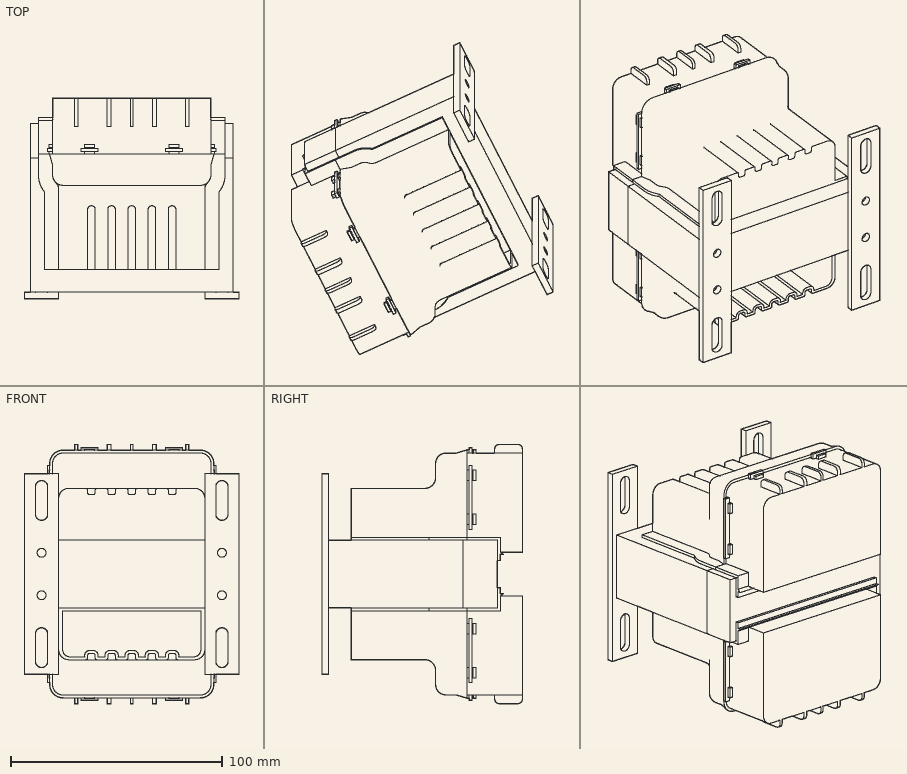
import cadquery as cq
import math


core_width = 96.0
core_half_height = 16.0
core_front_y = -44.3
core_joint_y = 19.3
core_back_y = 35.6

foot_outer_x = 50.8
foot_width = 16.2
foot_length = 95.0
foot_thickness = 3.2
slot_width = 5.7
slot_length = 18.7
slot_center_z = 34.85
screw_hole_diameter = 4.2
screw_hole_z = 10.05

flange_thickness = 1.4
flange_top_z = core_half_height + flange_thickness
flange_wide_half = 44.2
flange_narrow_half = 41.3
flange_curve_back_y = 11.2
flange_curve_front_y = 3.1
flange_curve_depth = flange_wide_half - flange_narrow_half
flange_curve_length = flange_curve_back_y - flange_curve_front_y
flange_curve_radius = (flange_curve_length**2 + flange_curve_depth**2) / (2 * flange_curve_depth)

cover_front_y = -33.7
cover_back_y = 21.2
shoulder_y = 6.25
body_half_width = 37.5
body_top_z = 57.3
body_radius = 5.0
flare_start_y = 16.0
flare_end_y = 20.8
flare_growth = 1.4
flare_angle = math.degrees(math.atan(flare_growth / (flare_end_y - flare_start_y)))
neck_half_width = 34.6
neck_top_z = 40.6
neck_radius = 4.8
blend_radius = 5.0
seam_margin = 0.1
seam_depth = 2.0

groove_count = 5
groove_pitch = 9.55
groove_end_y = -5.2
groove_half_width = 1.8
groove_depth = 3.0
groove_floor_radius = 1.0
groove_lip_radius = 0.9
groove_positions = [groove_pitch * (i - (groove_count - 1) / 2) for i in range(groove_count)]

pocket_side_wall = 1.9
pocket_wall = 1.4
pocket_radius = neck_radius - pocket_wall
pocket_floor_y = shoulder_y

block_back_y = 47.5
block_bottom_z = 10.3
apron_bottom_z = 6.4
apron_back_y = core_back_y + flange_thickness
lip_back_y = 38.4
lip_bottom_z = 9.3
lip_top_z = 10.6

fins = [(-26.25, 1.5), (-10.75, 1.9), (0, 1.4), (10.75, 1.9), (26.25, 1.5)]
fin_front_y = 34.2
fin_top_z = 61.45
fin_radius = 2.4
fin_root = 1.0

clip_bar_y = (22.2, 23.6)
clip_pad_y = (24.1, 25.5)
clip_bar_rise = 2.5
clip_pad_rise = 1.6
top_clip_x = 20.0
top_clip_bar_length = 8.1
clip_pad_length = 4.9
side_clip_z = 36.3
side_clip_bar_length = 30.3
side_clip_pad_offset = 10.4
clip_root = 1.0


def box(x_range, y_range, z_range):
    """Box between the given limits."""
    size = [high - low for low, high in (x_range, y_range, z_range)]
    corner = (x_range[0], y_range[0], z_range[0])
    return cq.Workplane("XY").box(*size, centered=False).translate(corner)


def tunnel(half_width, top_z, radius, front_y, back_y, taper=0):
    """Bar along Y, centered on Z = 0, with rounded corners; it is later trimmed at the core."""
    profile = cq.Sketch().rect(2 * half_width, 2 * top_z).vertices().fillet(radius)
    plane = cq.Workplane("XZ", origin=(0, front_y, 0))
    return plane.placeSketch(profile).extrude(-(back_y - front_y), taper=taper)


def above(solid, z):
    """Keep only the part of the solid above height z."""
    reach = 200
    return solid.intersect(box((-reach, reach), (-reach, reach), (z, reach)))


def mirrored(solid):
    return solid.mirror("XY")


def core_part(front_y, back_y):
    half_width = core_width / 2
    return box((-half_width, half_width), (front_y, back_y), (-core_half_height, core_half_height))


def foot(side):
    center_x = side * (foot_outer_x - foot_width / 2)
    plate = cq.Workplane("XZ", origin=(center_x, core_front_y, 0)).rect(foot_width, foot_length)
    plate = plate.extrude(foot_thickness)
    cutters = cq.Workplane("XZ", origin=(center_x, core_front_y, 0))
    slots = cutters.pushPoints([(0, slot_center_z), (0, -slot_center_z)])
    slots = slots.slot2D(slot_length, slot_width, 90).extrude(foot_thickness)
    holes = cutters.pushPoints([(0, screw_hole_z), (0, -screw_hole_z)])
    holes = holes.circle(screw_hole_diameter / 2).extrude(foot_thickness)
    return plate.cut(slots).cut(holes)


def cover_flange():
    outline = (
        cq.Workplane("XY", origin=(0, 0, core_half_height))
        .moveTo(-flange_narrow_half, cover_front_y)
        .lineTo(flange_narrow_half, cover_front_y)
        .lineTo(flange_narrow_half, flange_curve_front_y)
        .radiusArc((flange_wide_half, flange_curve_back_y), -flange_curve_radius)
        .lineTo(flange_wide_half, cover_back_y)
        .lineTo(-flange_wide_half, cover_back_y)
        .lineTo(-flange_wide_half, flange_curve_back_y)
        .radiusArc((-flange_narrow_half, flange_curve_front_y), -flange_curve_radius)
        .close()
    )
    return outline.extrude(flange_thickness)


def cover_body():
    """Wide rear body with a rounded shoulder, blended into the narrower neck in front of it."""
    body = tunnel(body_half_width, body_top_z, body_radius, shoulder_y, flare_start_y)
    body = body.faces("<Y").edges().fillet(body_radius)
    neck = tunnel(neck_half_width, neck_top_z, neck_radius, cover_front_y, flare_start_y)
    seam_box = cq.selectors.BoxSelector(
        (-neck_half_width - seam_margin, shoulder_y - seam_margin, -neck_top_z - seam_margin),
        (neck_half_width + seam_margin, shoulder_y + seam_depth, neck_top_z + seam_margin),
        boundingbox=True,
    )
    return body.union(neck).edges(seam_box).fillet(blend_radius)


def cover_flare():
    """Rim that widens toward the terminal block and ends in a short straight band."""
    taper = tunnel(
        body_half_width, body_top_z, body_radius, flare_start_y, flare_end_y, -flare_angle
    )
    band = tunnel(
        body_half_width + flare_growth,
        body_top_z + flare_growth,
        body_radius + flare_growth,
        flare_end_y,
        cover_back_y,
    )
    return taper.union(band)


def groove_bar(x, growth=0):
    """Round-ended bar that fills one groove, or the same bar grown on its sides, floor and end."""
    half_width = groove_half_width + growth
    front_y = cover_front_y - half_width
    length = groove_end_y + half_width - front_y
    center = (x, front_y + length / 2, neck_top_z - groove_depth - growth)
    bar = cq.Workplane("XY", origin=center).slot2D(length, 2 * half_width, 90)
    bar = bar.extrude(2 * groove_depth + growth)
    return bar.faces("<Z").edges().fillet(groove_floor_radius + growth)


def cut_grooves(cover):
    """Round-ended grooves with a rounded floor and lip, open at the front of the neck."""
    rim_back_y = groove_end_y + groove_half_width + groove_lip_radius
    lip_half_width = groove_half_width + groove_lip_radius
    for x in groove_positions:
        cover = cover.cut(groove_bar(x))
        lip_box = cq.selectors.BoxSelector(
            (x - lip_half_width, cover_front_y - seam_margin, neck_top_z - seam_margin),
            (x + lip_half_width, rim_back_y, neck_top_z + seam_margin),
            boundingbox=True,
        )
        lip = cover.edges(lip_box).edges("not #Y or %CIRCLE")
        cover = lip.fillet(groove_lip_radius)
    return cover


def neck_pocket():
    """Hollow of the open cover, with the groove shells standing up from its outer wall."""
    pocket = tunnel(
        neck_half_width - pocket_side_wall,
        neck_top_z - pocket_wall,
        pocket_radius,
        cover_front_y,
        pocket_floor_y,
    )
    pocket = above(pocket, flange_top_z)
    for x in groove_positions:
        pocket = pocket.cut(groove_bar(x, pocket_wall))
    return pocket


def coil_cover():
    cover = above(cover_body().union(cover_flare()), core_half_height)
    return cut_grooves(cover.union(cover_flange()))


def open_coil_cover():
    return mirrored(coil_cover().cut(neck_pocket()))


def block_body():
    """Main block, with a plate that wraps over the back edge of the core."""
    block = tunnel(body_half_width, body_top_z, body_radius, cover_back_y, block_back_y)
    block = above(block, core_half_height)
    overhang = box(
        (-body_half_width, body_half_width),
        (apron_back_y, block_back_y),
        (block_bottom_z, flange_top_z),
    )
    flange_x = (-flange_wide_half, flange_wide_half)
    flange = box(flange_x, (cover_back_y, apron_back_y), (core_half_height, flange_top_z))
    apron = box(flange_x, (core_back_y, apron_back_y), (apron_bottom_z, flange_top_z))
    lip = (
        cq.Workplane("YZ", origin=(-flange_wide_half, 0, 0))
        .polyline(
            [(apron_back_y, lip_bottom_z), (lip_back_y, lip_bottom_z), (apron_back_y, lip_top_z)]
        )
        .close()
        .extrude(2 * flange_wide_half)
    )
    return block.union(overhang).union(flange).union(apron).union(lip)


def fin(center_x, thickness):
    rounded = box(
        (center_x - thickness / 2, center_x + thickness / 2),
        (fin_front_y, block_back_y),
        (body_top_z - fin_root, fin_top_z),
    )
    return rounded.faces(">Z").edges("|X").fillet(fin_radius)


def clip(bar_length, pad_offsets):
    """Snap clip on the plane Z = 0, with its bar along X."""
    half_bar = bar_length / 2
    half_pad = clip_pad_length / 2
    shape = box((-half_bar, half_bar), clip_bar_y, (-clip_root, clip_bar_rise))
    for offset in pad_offsets:
        pad_x = (offset - half_pad, offset + half_pad)
        shape = shape.add(box(pad_x, clip_pad_y, (-clip_root, clip_pad_rise)))
        shape = shape.add(box(pad_x, (cover_back_y, clip_bar_y[0]), (-clip_root, clip_pad_rise)))
    return shape.combine()


def terminal_block():
    block = block_body()
    for center_x, thickness in fins:
        block = block.union(fin(center_x, thickness))
    for side in (-1, 1):
        top_clip = clip(top_clip_bar_length, [0]).translate((side * top_clip_x, 0, body_top_z))
        side_clip = clip(side_clip_bar_length, [-side_clip_pad_offset, side_clip_pad_offset])
        side_clip = side_clip.rotate((0, 0, 0), (0, 1, 0), side * 90)
        side_clip = side_clip.translate((side * body_half_width, 0, side_clip_z))
        block = block.union(top_clip).union(side_clip)
    return block


core_stack = core_part(core_front_y, core_joint_y)
core_bar = core_part(core_joint_y, core_back_y)
feet = [foot(side) for side in (-1, 1)]
closed_cover = coil_cover()
open_cover = open_coil_cover()
upper_block = terminal_block()
lower_block = mirrored(terminal_block())

result = cq.Compound.makeCompound(
    [
        core_stack.val(),
        core_bar.val(),
        *[plate.val() for plate in feet],
        closed_cover.val(),
        open_cover.val(),
        upper_block.val(),
        lower_block.val(),
    ]
)